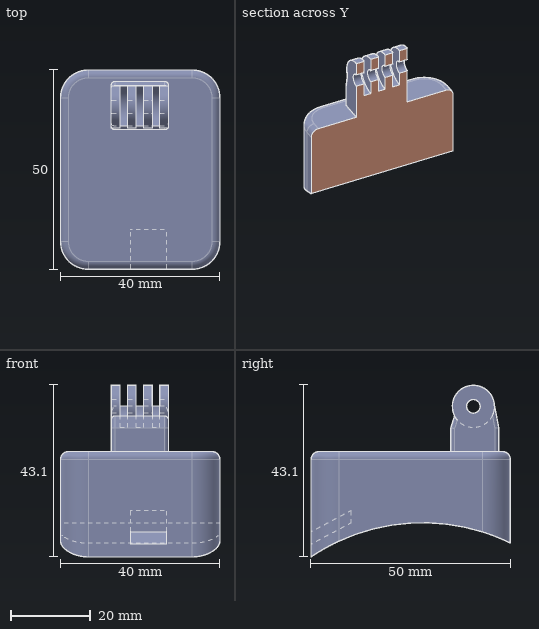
import cadquery as cq
import math

WIDTH = 40.0
LENGTH = 50.0
HEIGHT = 26.5
CORNER_RADIUS = 7.0
TOP_FILLET = 2.0

SADDLE_RADIUS = 50.0
SADDLE_Y = 3.0
SADDLE_CROWN_Z = 8.6

POCKET_WIDTH = 9.0
POCKET_HEIGHT = 3.1
POCKET_DEPTH = 10.0
POCKET_X = 2.05
POCKET_FLOOR_Z = 3.25
POCKET_SLOPE = 28.0

FIN_COUNT = 4
FIN_THICKNESS = 2.25
FIN_GAP = 1.8
FIN_PITCH = FIN_THICKNESS + FIN_GAP
HINGE_WIDTH = FIN_COUNT * FIN_PITCH - FIN_GAP
HINGE_X = -0.1
KNUCKLE_RADIUS = 5.3
PIN_DIAMETER = 3.35
PIN_Y = 15.7
PIN_Z = HEIGHT + 11.3
BASE_FRONT_Y = 10.0
BASE_BACK_Y = 22.1
BASE_STRAIGHT_HEIGHT = 5.9
BASE_HEIGHT = 11.4
BASE_EDGE_FILLET = 1.0
FRONT_TAPER = 1.75
BACK_TAPER = 1.05


def cylinder_along_x(radius, length, x, y, z):
    """Cylinder with its axis along X, centred on the given point."""
    return cq.Workplane("YZ", origin=(x, y, z)).circle(radius).extrude(length / 2, both=True)


def make_pocket():
    """Rectangular pocket that climbs as it runs back from the front wall."""
    rise = POCKET_DEPTH * math.tan(math.radians(POCKET_SLOPE))
    front_y = -LENGTH / 2
    back_y = front_y + POCKET_DEPTH
    profile = [
        (front_y, POCKET_FLOOR_Z),
        (back_y, POCKET_FLOOR_Z + rise),
        (back_y, POCKET_FLOOR_Z + rise + POCKET_HEIGHT),
        (front_y, POCKET_FLOOR_Z + POCKET_HEIGHT),
    ]
    return (
        cq.Workplane("YZ", origin=(POCKET_X, 0, 0))
        .polyline(profile).close()
        .extrude(POCKET_WIDTH / 2, both=True)
    )


def make_housing():
    block = (
        cq.Workplane("XY")
        .rect(WIDTH, LENGTH)
        .extrude(HEIGHT)
        .edges("|Z").fillet(CORNER_RADIUS)
        .faces(">Z").edges().fillet(TOP_FILLET)
    )
    saddle = cylinder_along_x(SADDLE_RADIUS, 2 * WIDTH, 0, SADDLE_Y, SADDLE_CROWN_Z - SADDLE_RADIUS)
    return block.cut(saddle).cut(make_pocket())


def make_hinge_base():
    """Block with sloped upper faces that end inside the knuckle."""
    shoulder_z = HEIGHT + BASE_STRAIGHT_HEIGHT
    base_top_z = HEIGHT + BASE_HEIGHT
    profile = [
        (BASE_FRONT_Y, HEIGHT - TOP_FILLET),
        (BASE_BACK_Y, HEIGHT - TOP_FILLET),
        (BASE_BACK_Y, shoulder_z),
        (BASE_BACK_Y - BACK_TAPER, base_top_z),
        (BASE_FRONT_Y + FRONT_TAPER, base_top_z),
        (BASE_FRONT_Y, shoulder_z),
    ]
    base = (
        cq.Workplane("YZ", origin=(HINGE_X, 0, 0))
        .polyline(profile).close()
        .extrude(HINGE_WIDTH / 2, both=True)
    )
    side_edges = base.faces("<X or >X").edges("not(#Z)")
    return side_edges.fillet(BASE_EDGE_FILLET)


def cut_hinge_slots(body):
    first_slot_x = HINGE_X - (FIN_COUNT - 2) / 2 * FIN_PITCH
    for i in range(FIN_COUNT - 1):
        slot_x = first_slot_x + i * FIN_PITCH
        body = body.cut(cylinder_along_x(KNUCKLE_RADIUS, FIN_GAP, slot_x, PIN_Y, PIN_Z))
    return body


def make_part():
    knuckle = cylinder_along_x(KNUCKLE_RADIUS, HINGE_WIDTH, HINGE_X, PIN_Y, PIN_Z)
    pin_hole = cylinder_along_x(PIN_DIAMETER / 2, 2 * HINGE_WIDTH, HINGE_X, PIN_Y, PIN_Z)
    body = make_housing().union(make_hinge_base()).union(knuckle)
    return cut_hinge_slots(body).cut(pin_hole)


result = make_part()